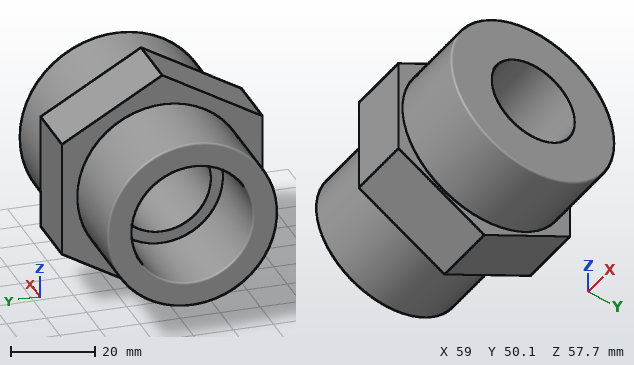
import cadquery as cq

total_length = 59.0
hex_start = 23.0
hex_width = 16.1
hex_end = hex_start + hex_width

hex_across_flats = 50.1
hex_across_corners = 57.7
left_diameter = 42.4
right_diameter = 47.8
rim_radius = 0.5

bore_diameter = 24.25
socket_diameter = 30.25
socket_depth = hex_start


def cylinder_x(diameter, start, end):
    """Solid cylinder along X between two X positions."""
    return cq.Workplane("YZ", origin=(start, 0, 0)).circle(diameter / 2).extrude(end - start)


def hex_collar():
    """Hexagonal collar with flats on the Y sides and corners at top and bottom."""
    half_flats = hex_across_flats / 2
    half_corners = hex_across_corners / 2
    half_side = half_corners / 2
    corners = [
        (0, half_corners),
        (half_flats, half_side),
        (half_flats, -half_side),
        (0, -half_corners),
        (-half_flats, -half_side),
        (-half_flats, half_side),
    ]
    return cq.Workplane("YZ", origin=(hex_start, 0, 0)).polyline(corners).close().extrude(hex_width)


socket = cylinder_x(socket_diameter, 0, socket_depth)
left_end = cylinder_x(left_diameter, 0, hex_start).cut(socket).faces("<X").edges().fillet(rim_radius)
right_end = cylinder_x(right_diameter, hex_end, total_length).faces(">X").edges().fillet(rim_radius)

bore = cylinder_x(bore_diameter, 0, total_length)
result = left_end.union(hex_collar()).union(right_end).cut(bore)